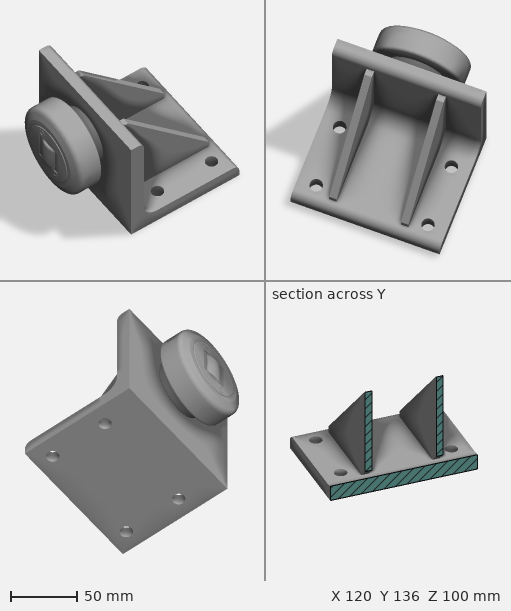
import cadquery as cq
import math


bracket_width = 120.0
leg_length = 100.0
leg_thickness = 12.0
root_radius = 12.0
toe_radius = 6.0

rib_thickness = 6.0
rib_center_x = 28.9
rib_length = 80.0
rib_end_height = 5.0
rib_corner_relief = 14.0

hole_diameter = 10.11
hole_spacing_x = 90.0
hole_spacing_y = 50.0
hole_center_y = 60.0

roller_axis_z = 60.0
neck_diameter = 48.0
edge_chamfer = 0.35
neck_length = 10.0
roller_back = 10.3
roller_width = 23.0
roller_front = roller_back + roller_width
roller_radius = 36.95
tread_crown = 0.1
roller_face_radius = 28.6
cone_angle = 21.0
roller_back_fillet = 2.0
roller_front_fillet = 4.0

cap_height = 0.6
cap_front = roller_front + cap_height
window_width = 23.7
window_height = 23.0
window_depth = 0.5
window_floor = cap_front - window_depth

side_roller_front = 36.0
side_roller_radius = 17.0
side_roller_length = 22.0
side_roller_width = 16.0
side_roller_fillet = 2.0
side_roller_crown = 0.4

screw_head_diameter = 7.8
screw_head_height = 0.2
screw_socket_diameter = 2.5
screw_socket_depth = 0.4
screw_offset_x = 8.7
screw_offset_z = 15.85


def front_plane(distance):
    """Plane facing -Y, on the roller axis, at a distance in front of the upright plate."""
    return cq.Workplane("XZ", origin=(0, -distance, roller_axis_z))


def extrude_across(outline, center_x, width):
    """Extrude a YZ outline so that it is centred on center_x."""
    return outline.extrude(width / 2, both=True).translate((center_x, 0, 0))


def make_angle():
    outline = (
        cq.Workplane("YZ")
        .lineTo(leg_length, 0)
        .lineTo(leg_length, leg_thickness - toe_radius)
        .radiusArc((leg_length - toe_radius, leg_thickness), -toe_radius)
        .lineTo(leg_thickness + root_radius, leg_thickness)
        .radiusArc((leg_thickness, leg_thickness + root_radius), root_radius)
        .lineTo(leg_thickness, leg_length - toe_radius)
        .radiusArc((leg_thickness - toe_radius, leg_length), -toe_radius)
        .lineTo(0, leg_length)
        .close()
    )
    angle = extrude_across(outline, 0, bracket_width)
    holes = (
        cq.Workplane("XY")
        .center(0, hole_center_y)
        .rarray(hole_spacing_x, hole_spacing_y, 2, 2)
        .circle(hole_diameter / 2)
        .extrude(leg_thickness)
    )
    return angle.cut(holes)


def make_rib(center_x):
    near = leg_thickness
    far = near + rib_length
    relief = near + rib_corner_relief
    end = near + rib_end_height
    outline = cq.Workplane("YZ").polyline(
        [(relief, near), (far, near), (far, end), (end, far), (near, far), (near, relief)]
    ).close()
    return extrude_across(outline, center_x, rib_thickness)


def make_neck():
    """Neck between plate and roller, with a small relief in front of its chamfered end."""
    neck = front_plane(0).circle(neck_diameter / 2).extrude(neck_length)
    neck = neck.edges("%CIRCLE").chamfer(edge_chamfer)
    core_radius = neck_diameter / 2 - edge_chamfer
    core = front_plane(0).circle(core_radius).extrude(cap_front)
    return neck.union(core)


def make_roller():
    """Slightly crowned roller with a conical front shoulder and rounded rims."""
    rim_radius = roller_radius - tread_crown
    cone_depth = (rim_radius - roller_face_radius) * math.tan(math.radians(cone_angle))
    tread_front = roller_front - cone_depth
    tread_middle = (roller_back + tread_front) / 2
    profile = (
        cq.Workplane("XY")
        .moveTo(0, -roller_back)
        .lineTo(rim_radius, -roller_back)
        .threePointArc((roller_radius, -tread_middle), (rim_radius, -tread_front))
        .lineTo(roller_face_radius, -roller_front)
        .lineTo(0, -roller_front)
        .close()
    )
    roller = profile.revolve(360, (0, 0, 0), (0, 1, 0))
    reach = 2 * roller_radius
    margin = cone_depth / 10
    front_rim = cq.selectors.BoxSelector(
        (-reach, -tread_front - margin, -reach),
        (reach, -tread_front + margin, reach),
    )
    roller = roller.edges(front_rim).fillet(roller_front_fillet)
    roller = roller.faces(">Y").edges().fillet(roller_back_fillet)
    return roller.translate((0, 0, roller_axis_z))


def make_cap():
    cap = front_plane(roller_front).circle(neck_diameter / 2).extrude(cap_height)
    return cap.faces("<Y").edges().chamfer(edge_chamfer)


def make_window():
    return front_plane(window_floor).rect(window_width, window_height).extrude(window_depth)


def make_side_roller():
    """Front segment of a crowned roller that turns about a line parallel to Z."""
    half_length = side_roller_length / 2
    rim_radius = side_roller_radius - side_roller_crown
    profile = (
        cq.Workplane("XZ")
        .moveTo(0, -half_length)
        .lineTo(rim_radius, -half_length)
        .threePointArc((side_roller_radius, 0), (rim_radius, half_length))
        .lineTo(0, half_length)
        .close()
    )
    roller = profile.revolve(360, (0, 0, 0), (0, 1, 0))
    roller = roller.faces("<Z or >Z").edges().fillet(side_roller_fillet)
    roller = roller.translate((0, side_roller_radius - side_roller_front, roller_axis_z))
    visible_depth = side_roller_front - window_floor
    visible_zone = (
        front_plane(window_floor)
        .rect(side_roller_width, side_roller_length)
        .extrude(visible_depth)
    )
    return roller.intersect(visible_zone)


def add_screws(body):
    centers = [(-screw_offset_x, screw_offset_z), (screw_offset_x, -screw_offset_z)]
    head_front = cap_front + screw_head_height
    heads = (
        front_plane(cap_front)
        .pushPoints(centers)
        .circle(screw_head_diameter / 2)
        .extrude(screw_head_height)
    )
    sockets = (
        front_plane(head_front)
        .pushPoints(centers)
        .circle(screw_socket_diameter / 2)
        .extrude(-screw_socket_depth)
    )
    return body.union(heads).cut(sockets)


result = make_angle()
for side in (-1, 1):
    result = result.union(make_rib(side * rib_center_x))
result = result.union(make_neck()).union(make_roller()).union(make_cap())
result = result.cut(make_window()).union(make_side_roller())
result = add_screws(result)